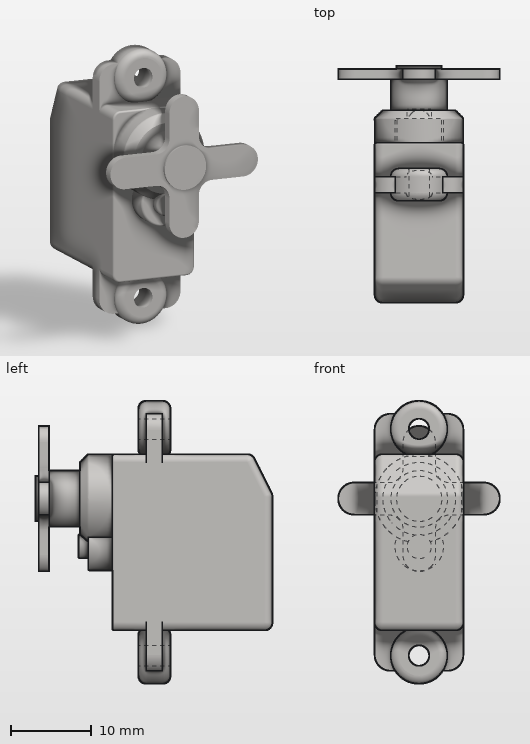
import cadquery as cq


CASE_WIDTH = 11.0
CASE_DEPTH = 19.8
CASE_HEIGHT = 21.8
CASE_EDGE_RADIUS = 1.0
BEVEL_DEPTH = 2.5
BEVEL_HEIGHT = 5.0
SMALL_RADIUS = 0.25

EAR_THICKNESS = 2.0
EAR_LENGTH = 5.0
EAR_CORNER_RADIUS = 2.0
EAR_CENTRE_Y = -5.2
GROMMET_DIAMETER = 7.0
GROMMET_THICKNESS = 4.0
GROMMET_RADIUS = 1.0
SCREW_HOLE_DIAMETER = 2.5
SCREW_HOLE_SPACING = 28.0

HOUSING_DIAMETER = CASE_WIDTH
HOUSING_HEIGHT = 4.0
HOUSING_CHAMFER = 1.0
OUTPUT_AXIS_Z = CASE_HEIGHT / 2 - HOUSING_DIAMETER / 2
SHAFT_DIAMETER = 7.0
SHAFT_LENGTH = 3.8
CAP_DIAMETER = 5.6
CAP_HEIGHT = 0.4

IDLER_OFFSET = 5.9
IDLER_DIAMETER = 6.0
IDLER_HEIGHT = 3.0
PIN_DIAMETER = 3.0
PIN_HEIGHT = 4.2

HORN_THICKNESS = 1.3
HORN_ARM_WIDTH = 4.0
HORN_SPAN_X = 20.0
HORN_SPAN_Z = 18.0
HORN_INNER_RADIUS = 1.75
HORN_Y = HOUSING_HEIGHT + SHAFT_LENGTH


def plane_at(y, z=0.0):
    """Work plane whose normal is +Y, with local x along -X and local y along +Z."""
    return cq.Workplane(cq.Plane(origin=(0, y, z), xDir=(-1, 0, 0), normal=(0, 1, 0)))


def cylinder(y, z, diameter, length):
    """Cylinder that grows along +Y from the given height."""
    return plane_at(y, z).circle(diameter / 2).extrude(length)


def make_case():
    top = CASE_HEIGHT / 2
    profile = [
        (0, -top),
        (0, top),
        (-CASE_DEPTH + BEVEL_DEPTH, top),
        (-CASE_DEPTH, top - BEVEL_HEIGHT),
        (-CASE_DEPTH, -top),
    ]
    case = cq.Workplane("YZ").polyline(profile).close().extrude(CASE_WIDTH / 2, both=True)
    back_edges = cq.selectors.BoxSelector(
        (-CASE_WIDTH, -SMALL_RADIUS, -CASE_HEIGHT), (CASE_WIDTH, SMALL_RADIUS, CASE_HEIGHT)
    )
    case = case.edges(cq.selectors.InverseSelector(back_edges)).fillet(CASE_EDGE_RADIUS)
    return case.faces(">Y").edges().fillet(SMALL_RADIUS)


def make_ears():
    """One plate running through the case, with a rounded grommet on each end."""
    ears = (
        plane_at(EAR_CENTRE_Y)
        .rect(CASE_WIDTH, CASE_HEIGHT + 2 * EAR_LENGTH)
        .extrude(EAR_THICKNESS / 2, both=True)
        .edges("|Y")
        .fillet(EAR_CORNER_RADIUS)
    )
    for side in (-1, 1):
        z = side * SCREW_HOLE_SPACING / 2
        grommet = cylinder(EAR_CENTRE_Y - GROMMET_THICKNESS / 2, z, GROMMET_DIAMETER, GROMMET_THICKNESS)
        ears = ears.union(grommet.faces("<Y or >Y").edges().fillet(GROMMET_RADIUS))
    return ears


def make_screw_holes():
    return (
        plane_at(EAR_CENTRE_Y)
        .rarray(1, SCREW_HOLE_SPACING, 1, 2)
        .circle(SCREW_HOLE_DIAMETER / 2)
        .extrude(GROMMET_THICKNESS, both=True)
    )


def make_gear_housing():
    housing = cylinder(0, OUTPUT_AXIS_Z, HOUSING_DIAMETER, HOUSING_HEIGHT)
    housing = housing.faces(">Y").chamfer(HOUSING_CHAMFER)
    rim = cq.selectors.RadiusNthSelector(-1)
    housing = housing.faces("%CONE").edges(rim).fillet(SMALL_RADIUS)
    idler_z = OUTPUT_AXIS_Z - IDLER_OFFSET
    for diameter, height in ((IDLER_DIAMETER, IDLER_HEIGHT), (PIN_DIAMETER, PIN_HEIGHT)):
        step = cylinder(0, idler_z, diameter, height).faces(">Y").edges().fillet(SMALL_RADIUS)
        housing = housing.union(step)
    return housing


def make_horn():
    """Cross of two round-ended arms with filleted inner corners."""
    horn = plane_at(HORN_Y, OUTPUT_AXIS_Z).slot2D(HORN_SPAN_X, HORN_ARM_WIDTH).extrude(HORN_THICKNESS)
    upright = plane_at(HORN_Y, OUTPUT_AXIS_Z).slot2D(HORN_SPAN_Z, HORN_ARM_WIDTH, 90).extrude(HORN_THICKNESS)
    inner_corners = cq.selectors.BoxSelector(
        (-HORN_ARM_WIDTH, HORN_Y, OUTPUT_AXIS_Z - HORN_ARM_WIDTH),
        (HORN_ARM_WIDTH, HORN_Y + HORN_THICKNESS, OUTPUT_AXIS_Z + HORN_ARM_WIDTH),
    )
    return horn.union(upright).edges("|Y").edges(inner_corners).fillet(HORN_INNER_RADIUS)


def make_output():
    """Output shaft, horn and the cap on top of the horn."""
    shaft = cylinder(0, OUTPUT_AXIS_Z, SHAFT_DIAMETER, HORN_Y)
    cap = cylinder(HORN_Y, OUTPUT_AXIS_Z, CAP_DIAMETER, HORN_THICKNESS + CAP_HEIGHT)
    return shaft.union(make_horn()).union(cap)


servo = make_case().union(make_ears()).union(make_gear_housing()).union(make_output())
result = servo.cut(make_screw_holes())